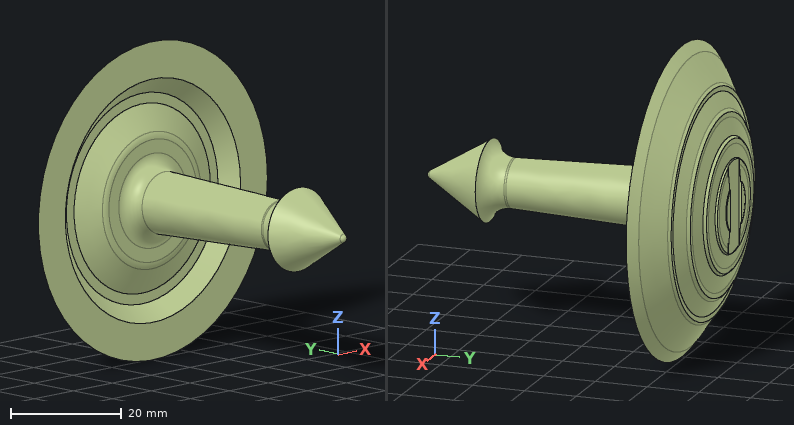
import cadquery as cq
import math


total_length = 59.6
cap_height = 10.35
cap_radius = 29.5
rim_bevel_radius = 27.4
rim_bevel_height = 1.65
dome_steps = [
    (22.1, 5.3, 21.6, 5.8),
    (17.65, 7.25, 17.05, 7.8),
    (12.8, 8.7, 12.4, 9.25),
    (8.9, 9.6, 8.65, 9.95),
]
step_tread_width = 0.95
crown_radius = 4.9
crown_base_height = 10.2

slot_width = 5.7
slot_floor_height = 9.85

groove_outer_radius = 22.5
groove_floor_outer_radius = 19.5
groove_floor_inner_radius = 17.5
groove_inner_radius = 12.05
groove_depth = 2.75
groove_round = 3.0

stem_length = total_length - cap_height
root_fillet = 3.0
stem_root_radius = 5.8
waist_radius = 4.7
waist_start = 32.35
waist_end = 32.7
barb_radius = 7.8
barb_start = 37.1
tip_radius = 0.9
tip_shoulder_radius = 0.85


def revolve_about_y(profile):
    return profile.close().revolve(360, (0, 0, 0), (0, 1, 0))


def make_cap():
    profile = cq.Workplane("XY").lineTo(cap_radius, 0)
    profile = profile.lineTo(rim_bevel_radius, rim_bevel_height)
    for foot_radius, foot_height, shoulder_radius, shoulder_height in dome_steps:
        profile = profile.lineTo(foot_radius, foot_height)
        profile = profile.lineTo(shoulder_radius, shoulder_height)
        profile = profile.lineTo(shoulder_radius - step_tread_width, shoulder_height)
    profile = profile.lineTo(crown_radius, crown_base_height)
    profile = profile.lineTo(crown_radius, cap_height).lineTo(0, cap_height)
    return revolve_about_y(profile)


def make_crown_slot():
    depth = cap_height - slot_floor_height
    slot = cq.Workplane("XY").box(slot_width, depth, 2 * cap_radius, centered=(True, False, True))
    return slot.translate((0, slot_floor_height, 0))


def make_ring_groove():
    """Groove whose inner cone blends into the back face through a tangent round."""
    cone_angle = math.atan2(groove_depth, groove_floor_inner_radius - groove_inner_radius)
    tangent_length = groove_round * math.tan(cone_angle / 2)
    round_start = groove_inner_radius - tangent_length
    round_end = (
        round_start + groove_round * math.sin(cone_angle),
        groove_round * (1 - math.cos(cone_angle)),
    )
    round_middle = (
        round_start + groove_round * math.sin(cone_angle / 2),
        groove_round * (1 - math.cos(cone_angle / 2)),
    )
    profile = (
        cq.Workplane("XY")
        .moveTo(groove_outer_radius, 0)
        .lineTo(groove_floor_outer_radius, groove_depth)
        .lineTo(groove_floor_inner_radius, groove_depth)
        .lineTo(*round_end)
        .threePointArc(round_middle, (round_start, 0))
    )
    return revolve_about_y(profile)


def make_stem():
    tip_center = tip_radius - stem_length
    tip_shoulder = tip_center - math.sqrt(tip_radius**2 - tip_shoulder_radius**2)
    tip_middle = tip_radius * math.sin(math.pi / 4)
    profile = (
        cq.Workplane("XY")
        .lineTo(stem_root_radius + root_fillet, 0)
        .radiusArc((stem_root_radius, -root_fillet), -root_fillet)
        .lineTo(waist_radius, -waist_start)
        .lineTo(waist_radius, -waist_end)
        .tangentArcPoint((barb_radius, -barb_start), relative=False)
        .lineTo(tip_shoulder_radius, tip_shoulder)
        .threePointArc((tip_middle, tip_center - tip_middle), (0, -stem_length))
    )
    return revolve_about_y(profile)


result = make_cap().cut(make_crown_slot()).cut(make_ring_groove()).union(make_stem())